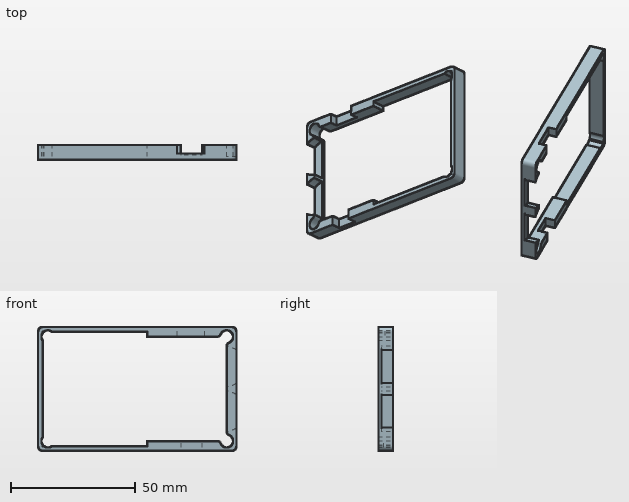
import cadquery as cq
import math

LENGTH = 80.0
HEIGHT = 50.0
DEPTH = 6.0
CORNER_RADIUS = 2.0

THIN_WALL = 2.0
THICK_WALL = 4.0
STEP_X = 44.0

RELIEF_RADIUS = 2.55
RELIEF_INSET = 4.0
MOUTH_RADIUS = 1.5

TOP_NOTCH_FLOOR = 2.65
BOTTOM_NOTCH_FLOOR = 2.0
TOP_NOTCH_START = 56.0
TOP_NOTCH_END = 67.0
BOTTOM_NOTCH_START = 57.6
BOTTOM_NOTCH_END = 66.1

END_NOTCH_FLOOR = 1.35
RIB_THICKNESS = 1.6
END_NOTCH_INNER_WIDTH = 16.4
END_NOTCH_SIDE_RADIUS = 8.2
END_NOTCH_ARC_INSET = 0.9

INNER_RIGHT_X = LENGTH - THICK_WALL
MID_Z = HEIGHT / 2


def box(x_start, x_end, y_start, y_end, z_start, z_end):
    """Axis-aligned box between the given limits."""
    size = (x_end - x_start, y_end - y_start, z_end - z_start)
    return cq.Workplane("XY").box(*size, centered=False).translate((x_start, y_start, z_start))


def frame_opening():
    """Stepped through opening with a round relief at each corner."""
    wide_part = box(THIN_WALL, STEP_X, 0, DEPTH, THIN_WALL, HEIGHT - THIN_WALL)
    narrow_part = box(STEP_X, INNER_RIGHT_X, 0, DEPTH, THICK_WALL, HEIGHT - THICK_WALL)
    opening = wide_part.union(narrow_part)
    for x in (RELIEF_INSET, LENGTH - RELIEF_INSET):
        for z in (RELIEF_INSET, HEIGHT - RELIEF_INSET):
            relief = cq.Workplane("XZ", origin=(x, 0, z)).circle(RELIEF_RADIUS).extrude(-DEPTH)
            opening = opening.union(relief)
    return opening


def round_relief_mouths(frame):
    """Round the edges where the right-hand reliefs break into the thick walls."""
    margin = MOUTH_RADIUS / 2
    search_area = cq.selectors.BoxSelector(
        (INNER_RIGHT_X - RELIEF_RADIUS - margin, 0, THICK_WALL - margin),
        (INNER_RIGHT_X + margin, DEPTH, HEIGHT - THICK_WALL + margin),
    )
    return frame.edges("|Y").edges(search_area).fillet(MOUTH_RADIUS)


def end_notch(centre_z):
    """Curved notch through the right wall, open towards +Y.

    Its sides curl inwards to the outer face, on arcs centred just inside the inner face.
    """
    inner_half = END_NOTCH_INNER_WIDTH / 2
    radius = END_NOTCH_SIDE_RADIUS
    inner_angle = math.asin(END_NOTCH_ARC_INSET / radius)
    outer_angle = math.asin((END_NOTCH_ARC_INSET + THICK_WALL) / radius)
    mid_angle = (inner_angle + outer_angle) / 2
    arc_centre_x = INNER_RIGHT_X - END_NOTCH_ARC_INSET

    def side_point(angle, side):
        half_width = inner_half - radius * (math.cos(inner_angle) - math.cos(angle))
        return (arc_centre_x + radius * math.sin(angle), centre_z + side * half_width)

    plane = cq.Workplane("XZ", origin=(0, END_NOTCH_FLOOR, 0))
    return (
        plane.moveTo(*side_point(inner_angle, -1))
        .threePointArc(side_point(mid_angle, -1), side_point(outer_angle, -1))
        .lineTo(*side_point(outer_angle, 1))
        .threePointArc(side_point(mid_angle, 1), side_point(inner_angle, 1))
        .close()
        .extrude(END_NOTCH_FLOOR - DEPTH)
    )


frame = box(0, LENGTH, 0, DEPTH, 0, HEIGHT).edges("|Y").fillet(CORNER_RADIUS)
frame = round_relief_mouths(frame.cut(frame_opening()))

frame = frame.cut(
    box(TOP_NOTCH_START, TOP_NOTCH_END, TOP_NOTCH_FLOOR, DEPTH, HEIGHT - THICK_WALL, HEIGHT)
)
frame = frame.cut(
    box(BOTTOM_NOTCH_START, BOTTOM_NOTCH_END, BOTTOM_NOTCH_FLOOR, DEPTH, 0, THICK_WALL)
)

notch_offset = (RIB_THICKNESS + END_NOTCH_INNER_WIDTH) / 2
for side in (-1, 1):
    frame = frame.cut(end_notch(MID_Z + side * notch_offset))

result = frame